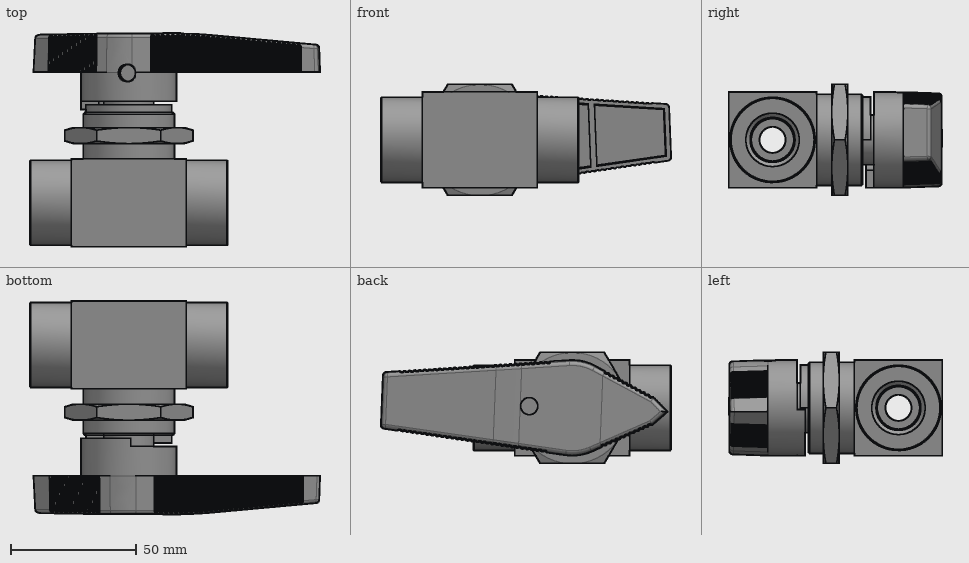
import cadquery as cq
import math


port_span = 79.2
port_diameter = 34.1
port_edge_chamfer = 0.5
block_length = 46.0
block_width = 38.3
block_height = 35.2
neck_diameter = 36.6
neck_top = 36.1
neck_chamfer = 0.7
stop_ring_diameter = 34.4
stop_ring_top = 39.3

flow_diameter = 10.3
thread_mouth_diameter = 18.0
thread_end_diameter = 17.0
thread_depth = 16.3
countersink_diameter = 21.4

nut_across_flats = 44.5
nut_bottom = 23.7
nut_thickness = 6.4
nut_chamfer_height = 1.0

stem_diameter = 20.0
stem_bottom = block_height / 2
stem_top = 57.5

hub_diameter = 38.3
hub_bottom = 40.5
tab_bottom = 37.3
tab_inner_radius = 12.1
screw_hole_diameter = 6.9
screw_hole_height = 51.9

lever_angle = 2.3
lever_base = 52.3
crest_height = 67.7
crest_start = -11.6
crest_end = 20.9
slope_start = 31.1
lever_slope = 0.091
tail_top = 67.2
tail_x = -38.2
tail_shoulder_x = -32.3
tail_flank_angle = 26.0
tip_x = 76.2
tip_flank_angle = 6.0
tip_corner_radius = 1.6
lever_draft = 2.0
lever_top_fillet = 1.6
lever_wall = 2.0
lever_roof = 1.9
web_start = 43.9
web_thickness = 2.4
boss_x = 17.2
boss_diameter = 6.9
boss_top = 67.9

groove_pitch = 2.02
groove_width = 1.6
groove_floor = 0.6
groove_depth = 0.3
tip_groove_count = 30
tip_groove_start = 8.4
tail_groove_count = 11
tail_groove_start = 5.2

hub_radius = hub_diameter / 2
cutter_margin = 1.2


def across_stem(height):
    """Workplane at a height on the stem axis, facing +Y, with its y axis along -Z."""
    return cq.Workplane(cq.Plane(origin=(0, height, 0), xDir=(1, 0, 0), normal=(0, 1, 0)))


def stem_cylinder(diameter, bottom, top):
    return across_stem(bottom).circle(diameter / 2).extrude(top - bottom)


def port_cutter():
    """Half of the flow passage, opening at the +X end: bore, tapered thread and countersink."""
    end = port_span / 2
    countersink_depth = (countersink_diameter - thread_mouth_diameter) / 2
    return (
        cq.Workplane("XY")
        .moveTo(0, 0)
        .lineTo(0, flow_diameter / 2)
        .lineTo(end - thread_depth, flow_diameter / 2)
        .lineTo(end - thread_depth, thread_end_diameter / 2)
        .lineTo(end - countersink_depth, thread_mouth_diameter / 2)
        .lineTo(end, countersink_diameter / 2)
        .lineTo(end, 0)
        .close()
        .revolve(360, (0, 0, 0), (1, 0, 0))
    )


def make_valve_body():
    block = cq.Workplane("XY").box(block_length, block_height, block_width)
    ports = (
        cq.Workplane("YZ")
        .circle(port_diameter / 2)
        .extrude(port_span / 2, both=True)
        .faces("<X or >X")
        .chamfer(port_edge_chamfer)
    )
    neck = stem_cylinder(neck_diameter, 0, neck_top).faces(">Y").chamfer(neck_chamfer)
    ring_half = cq.Workplane("XY").box(
        stop_ring_diameter, stop_ring_top, stop_ring_diameter, centered=(True, False, False)
    )
    stop_ring = stem_cylinder(stop_ring_diameter, 0, stop_ring_top).intersect(ring_half)
    passage = port_cutter().union(port_cutter().mirror("YZ"))
    stem_recess = stem_cylinder(stem_diameter, stem_bottom, stem_top)
    return block.union(ports).union(neck).union(stop_ring).cut(passage).cut(stem_recess)


def make_nut():
    corner_diameter = nut_across_flats / math.cos(math.radians(30))
    hexagon = across_stem(nut_bottom).polygon(6, corner_diameter).extrude(nut_thickness)
    half_flats = nut_across_flats / 2
    half_corners = corner_diameter / 2
    nut_top = nut_bottom + nut_thickness
    corner_chamfer = (
        cq.Workplane("XY")
        .moveTo(0, nut_bottom)
        .lineTo(half_flats, nut_bottom)
        .lineTo(half_corners, nut_bottom + nut_chamfer_height)
        .lineTo(half_corners, nut_top - nut_chamfer_height)
        .lineTo(half_flats, nut_top)
        .lineTo(0, nut_top)
        .close()
        .revolve(360, (0, 0, 0), (0, 1, 0))
    )
    return hexagon.intersect(corner_chamfer).cut(stem_cylinder(neck_diameter, nut_bottom, nut_top))


def turn_with_lever(shape):
    """Turn a shape from the lever's own frame to its place on the valve."""
    return shape.rotate((0, 0, 0), (0, 1, 0), -lever_angle)


def screw_hole():
    """Blind set screw hole from the +Z side of the hub to the stem axis."""
    hole = (
        cq.Workplane("XY")
        .center(0, screw_hole_height)
        .circle(screw_hole_diameter / 2)
        .extrude(hub_diameter)
    )
    return turn_with_lever(hole)


def make_stem():
    return stem_cylinder(stem_diameter, stem_bottom, stem_top).cut(screw_hole())


def flank_half_width(radius, x, angle):
    """Half width of the lever at x, on a flank that leaves this radius toward +X and tapers by angle."""
    return (radius - x * math.sin(angle)) / math.cos(angle)


def flank_tangent(radius, angle):
    """Point where a flank of this taper leaves the circle around the stem axis."""
    return radius * math.sin(angle), radius * math.cos(angle)


def lever_plan(inset):
    """Lever outline moved inward by an inset: a pointed tail and a blunt tip, tangent to the hub circle."""
    radius = hub_radius - inset
    tail_angle = -math.radians(tail_flank_angle)
    tip_angle = math.radians(tip_flank_angle)
    shoulder_half_width = flank_half_width(hub_radius, tail_shoulder_x, tail_angle)
    point_angle = math.atan2(shoulder_half_width, tail_shoulder_x - tail_x)
    point_x = tail_x + inset / math.sin(point_angle)
    point_slope = math.tan(point_angle)
    slope_difference = point_slope + math.tan(tail_angle)
    shoulder_x = (radius / math.cos(tail_angle) + point_x * point_slope) / slope_difference
    shoulder_z = flank_half_width(radius, shoulder_x, tail_angle)
    tail_tangent_x, tail_tangent_z = flank_tangent(radius, tail_angle)
    tip_tangent_x, tip_tangent_z = flank_tangent(radius, tip_angle)
    end_x = tip_x - inset
    end_z = flank_half_width(radius, end_x, tip_angle)
    return (
        across_stem(lever_base)
        .moveTo(point_x, 0)
        .lineTo(shoulder_x, shoulder_z)
        .lineTo(tail_tangent_x, tail_tangent_z)
        .threePointArc((0, radius), (tip_tangent_x, tip_tangent_z))
        .lineTo(end_x, end_z)
        .lineTo(end_x, -end_z)
        .lineTo(tip_tangent_x, -tip_tangent_z)
        .threePointArc((0, -radius), (tail_tangent_x, -tail_tangent_z))
        .lineTo(shoulder_x, -shoulder_z)
        .close()
    )


def top_height(x):
    """Height of the sloping top of the lever at x; its line crosses the crest midway along the blend."""
    return crest_height - lever_slope * (x - (crest_end + slope_start) / 2)


def lever_envelope(drop):
    """Everything under the top surface of the lever, lowered by a drop."""
    far_x = tip_x + cutter_margin
    rear_x = tail_x - cutter_margin
    return (
        cq.Workplane("XY")
        .moveTo(rear_x, lever_base)
        .lineTo(rear_x, tail_top - drop)
        .lineTo(crest_start, crest_height - drop)
        .lineTo(crest_end, crest_height - drop)
        .tangentArcPoint((slope_start, top_height(slope_start) - drop), relative=False)
        .lineTo(far_x, top_height(far_x) - drop)
        .lineTo(far_x, lever_base)
        .close()
        .extrude(hub_diameter, both=True)
    )


def lever_block(inset, drop):
    """Drafted lever outline under its top surface."""
    rise = crest_height - lever_base + cutter_margin
    drafted = lever_plan(inset).extrude(rise, taper=lever_draft)
    return drafted.intersect(lever_envelope(drop))


def flank_grooves(count, first, angle, direction, side):
    """Trapezoidal cutters on one flank; direction is +1 toward the tip, side is +1 for +Z."""
    angle = math.radians(angle)
    draft = math.radians(lever_draft)
    along = cq.Vector(direction * math.cos(angle), 0, -side * math.sin(angle))
    outward = cq.Vector(direction * math.sin(angle), 0, side * math.cos(angle))
    upward = cq.Vector(0, math.cos(draft), 0) - outward * math.sin(draft)
    base = cq.Vector(0, lever_base, 0)
    facing = 1 if upward.cross(along).dot(outward) > 0 else -1
    half_floor = groove_floor / 2
    half_top = groove_width - half_floor
    cutters = []
    for index in range(count):
        origin = base + outward * hub_radius + along * (first + index * groove_pitch)
        groove = (
            cq.Workplane(cq.Plane(origin=origin, xDir=along, normal=upward))
            .workplane(offset=-cutter_margin)
            .moveTo(-half_floor, -facing * groove_depth)
            .lineTo(half_floor, -facing * groove_depth)
            .lineTo(half_top, facing * groove_depth)
            .lineTo(-half_top, facing * groove_depth)
            .close()
            .extrude(crest_height - lever_base + cutter_margin)
        )
        cutters.append(groove.val())
    return cutters


def make_lever():
    """Lever with rounded tip corners and top rim, grip grooves and hollow pockets underneath."""
    tip_corners = cq.selectors.BoxSelector(
        (tip_x - cutter_margin, lever_base + cutter_margin, -hub_radius),
        (tip_x + cutter_margin, crest_height, hub_radius),
    )
    top_rim = cq.selectors.BoxSelector(
        (tail_x, top_height(tip_x) - cutter_margin, -hub_radius),
        (tip_x, crest_height + cutter_margin, hub_radius),
    )
    lever = lever_block(0, 0).edges(tip_corners).edges("not |Z").fillet(tip_corner_radius)
    lever = lever.edges(top_rim).edges("not |Z or >X").fillet(lever_top_fillet)

    grooves = []
    for side in (1, -1):
        grooves += flank_grooves(tip_groove_count, tip_groove_start, tip_flank_angle, 1, side)
        grooves += flank_grooves(tail_groove_count, tail_groove_start, tail_flank_angle, -1, side)
    lever = lever.cut(cq.Workplane("XY").newObject([cq.Compound.makeCompound(grooves)]))

    web = cq.Workplane("XY").box(web_thickness, crest_height, hub_diameter, centered=(False, False, True))
    pockets = (
        lever_block(lever_wall, lever_roof)
        .cut(web.translate((web_start, 0, 0)))
        .cut(stem_cylinder(hub_diameter, 0, crest_height))
    )
    return lever.cut(pockets)


def make_handle():
    hub = stem_cylinder(hub_diameter, hub_bottom, lever_base)
    quarter = cq.Workplane("XY").box(hub_radius, crest_height, hub_radius, centered=False)
    tab = (
        stem_cylinder(hub_diameter, tab_bottom, hub_bottom)
        .cut(stem_cylinder(2 * tab_inner_radius, tab_bottom, hub_bottom))
        .intersect(quarter.translate((-hub_radius, 0, -hub_radius)))
    )
    boss_bottom = crest_height - lever_roof / 2
    boss = stem_cylinder(boss_diameter, boss_bottom, boss_top).translate((boss_x, 0, 0))
    handle = turn_with_lever(make_lever().union(boss).union(hub).union(tab))
    return handle.cut(stem_cylinder(stem_diameter, stem_bottom, stem_top)).cut(screw_hole())


valve_body = make_valve_body()
nut = make_nut()
stem = make_stem()
handle = make_handle()

result = cq.Compound.makeCompound([valve_body.val(), nut.val(), stem.val(), handle.val()])